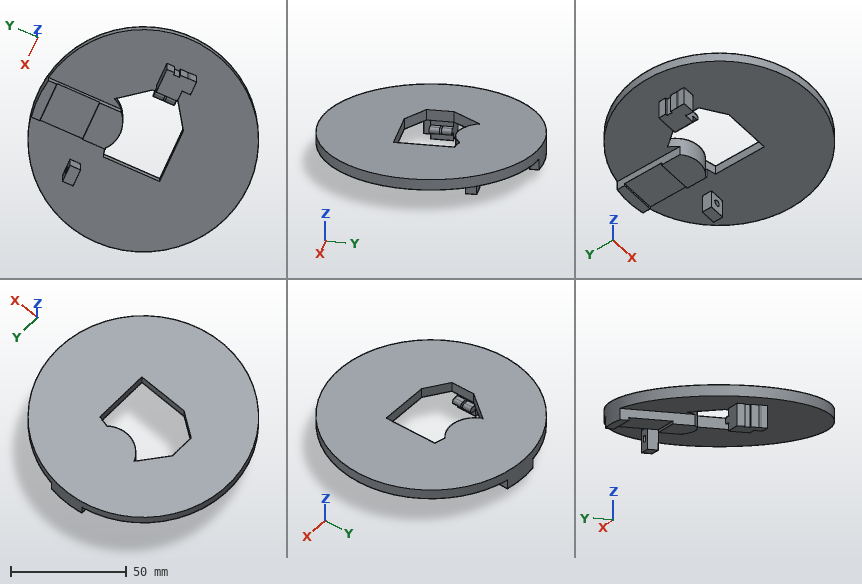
import cadquery as cq

plate_diameter = 100
plate_thickness = 5
bracket_drop = 10

window_left = -22.4
window_right = 13.7
window_bottom = -14.0
window_bottom_corner_x = -11.1
window_left_low_y = -6.3
window_left_high_y = 5.8
window_peak = (-12.0, 19.1)
window_right_high_y = 12.8
bulge_radius = 13
bulge_center_y = 24

rib_half_width = 9
rib_drop = 5
relief_start_y = 24.8
relief_end_y = 45.1
relief_depth = 1.2

latch_left = -36.0
latch_right = -24.8
latch_half_depth = 5
key_slot_width = 2.7
key_slot_depth = 1

post_diameter = 6.3
post_left = -36.1
post_center_y = -5.9
post_front_y = -9

tongue_diameter = 3
tongue_tip_x = -21.2
tongue_z = -4.8
tongue_groove_width = 0.9
tongue_groove_depth = 0.1

lug_left = 20.6
lug_right = 28.5
lug_front_y = 20.5
lug_back_y = 25.5
eye_diameter = 3
eye_z = -4.5


def box(x_range, y_range, z_range):
    """Axis-aligned box between the given limits."""
    (x0, x1), (y0, y1), (z0, z1) = x_range, y_range, z_range
    return cq.Workplane("XY").box(x1 - x0, y1 - y0, z1 - z0, centered=False).translate((x0, y0, z0))


def upright_cylinder(diameter, center, bottom, top):
    """Cylinder along Z."""
    return cq.Workplane("XY", origin=(*center, bottom)).circle(diameter / 2).extrude(top - bottom)


def window_cutter():
    """Window shape, without the bulge, over the full height of plate and rib."""
    outline = [
        (window_left, window_left_low_y),
        (window_bottom_corner_x, window_bottom),
        (window_right, window_bottom),
        (window_right, window_right_high_y),
        window_peak,
        (window_left, window_left_high_y),
    ]
    bulge = upright_cylinder(2 * bulge_radius, (0, bulge_center_y), -rib_drop, plate_thickness)
    prism = cq.Workplane("XY", origin=(0, 0, -rib_drop)).polyline(outline).close()
    return prism.extrude(rib_drop + plate_thickness).cut(bulge)


def plate():
    return upright_cylinder(plate_diameter, (0, 0), 0, plate_thickness).cut(window_cutter())


def rib():
    """Rib with a round inner end, trimmed by the rim and relieved along its underside."""
    rib_x = (-rib_half_width, rib_half_width)
    inner_end_y = bulge_center_y - bulge_radius
    body = box(rib_x, (inner_end_y, plate_diameter / 2), (-rib_drop, 0))
    body = body.intersect(upright_cylinder(plate_diameter, (0, 0), -rib_drop, 0))
    relief = box(rib_x, (relief_start_y, relief_end_y), (-rib_drop, relief_depth - rib_drop))
    return body.cut(window_cutter()).cut(relief)


def tongue_bar(radius, half_depth):
    """Flat bar with a rounded tip, leaving the latch block along +X."""
    round_x = tongue_tip_x - tongue_diameter / 2
    profile = (
        cq.Workplane("XZ", origin=(0, half_depth, 0))
        .moveTo(latch_right, tongue_z - radius)
        .lineTo(round_x, tongue_z - radius)
        .threePointArc((round_x + radius, tongue_z), (round_x, tongue_z + radius))
        .lineTo(latch_right, tongue_z + radius)
        .close()
    )
    return profile.extrude(2 * half_depth)


def tongue():
    """Tongue with a shallow groove around its middle."""
    groove_half_width = tongue_groove_width / 2
    full_bar = tongue_bar(tongue_diameter / 2, latch_half_depth)
    groove_zone = tongue_bar(tongue_diameter / 2, groove_half_width)
    core = tongue_bar(tongue_diameter / 2 - tongue_groove_depth, groove_half_width)
    return full_bar.cut(groove_zone).union(core)


def latch():
    """Latch block with a key slot on its outer face, the round-ended post and the tongue."""
    drop = (-bracket_drop, 0)
    block = box((latch_left, latch_right), (-latch_half_depth, latch_half_depth), drop)
    slot_x = (latch_left, latch_left + key_slot_depth)
    slot = box(slot_x, (-key_slot_width / 2, key_slot_width / 2), drop)
    post_center_x = post_left + post_diameter / 2
    post_x = (post_left, post_left + post_diameter)
    post = box(post_x, (post_front_y, post_center_y), drop)
    post_end = upright_cylinder(post_diameter, (post_center_x, post_center_y), *drop)
    end_zone = box(post_x, (post_center_y, 0), drop)
    post_end = post_end.intersect(end_zone)
    return block.cut(slot).union(post).union(post_end).union(tongue())


def eye_lug():
    lug = box((lug_left, lug_right), (lug_front_y, lug_back_y), (-bracket_drop, 0))
    eye_x = (lug_left + lug_right) / 2
    eye = cq.Workplane("XZ", origin=(eye_x, lug_back_y, eye_z)).circle(eye_diameter / 2)
    return lug.cut(eye.extrude(lug_back_y - lug_front_y))


result = plate().union(rib()).union(latch()).union(eye_lug())